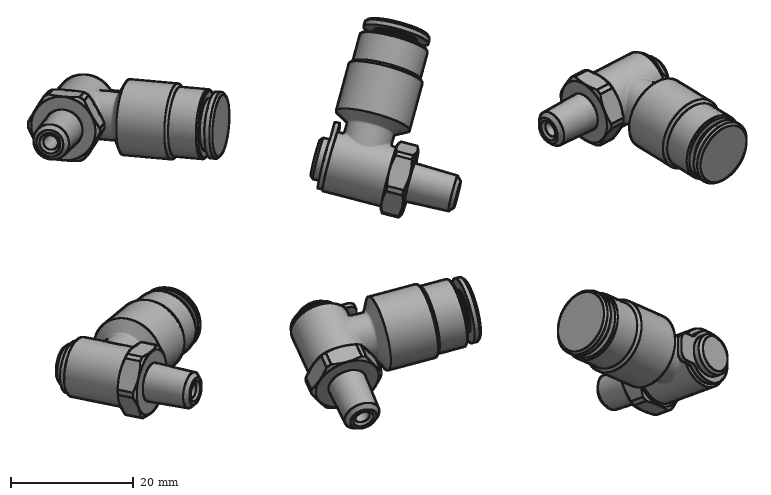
import cadquery as cq
import math


body_radius = 5.0
body_half_length = 5.0
neck_radius = 4.0
saddle_fillet = 0.4

hex_across_flats = 11.0
hex_corner_radius = 6.1
hex_face_radius = 5.45
hex_height = 3.5
hex_chamfer_angle = 30.0

thread_radius = 3.25
thread_length = 8.0
thread_taper = 1 / 16
thread_chamfer = 0.75

bore_radius = 1.25
bore_depth = 9.0
bore_chamfer = 0.5
inner_bore_radius = 1.0
inner_bore_depth = 14.0
drill_half_angle = 59.0

clip_thickness = 0.85
clip_radius = 4.4
clip_offset = -0.36
clip_tab_reach = 6.36
clip_tab_half_width = 2.4
clip_tab_corner_radius = 1.3
clip_tab_fillet = 1.17
groove_radius = 2.9
groove_clearance = 0.08
cap_radius = 3.5
cap_height = 2.5
cap_chamfer = 0.5

socket_radius = 6.25
socket_start = 8.35
socket_end = 17.0
shoulder_angle = 60.0
shoulder_fillet = 0.5
collar_radius = 5.75
collar_end = 22.0
collar_chamfer = 0.3

ring_neck_radius = 3.5
ring_neck_cone_radius = 4.35
ring_flare_radius = 3.6
ring_flare_length = 0.3
ring_radius = 5.5
ring_start = 23.1
ring_end = 24.34
ring_chamfer = 0.4

hex_front = -body_half_length - hex_height
stem_tip = hex_front - thread_length


def cone_run(rise, angle):
    """Axial length over which a cone of this half angle gains the given radius."""
    return rise / math.tan(math.radians(angle))


def revolve_about_y(points):
    """Solid of revolution about Y from (radius, y) points."""
    return cq.Workplane("XY").polyline(points).close().revolve(360, (0, 0, 0), (0, 1, 0))


def cylinder_along_y(radius, start, end):
    return revolve_about_y([(0, start), (radius, start), (radius, end), (0, end)])


def elbow_with_socket():
    """Elbow body with the turned socket and release ring, blended where the neck meets the body."""
    body = cylinder_along_y(body_radius, -body_half_length, body_half_length)

    shoulder_foot = socket_start - cone_run(socket_radius - neck_radius, shoulder_angle)
    turn = math.radians(shoulder_angle)
    arc_center_radius = neck_radius + shoulder_fillet
    arc_start = shoulder_foot - shoulder_fillet * math.tan(turn / 2)

    def on_shoulder_fillet(angle):
        x = arc_start + shoulder_fillet * math.sin(angle)
        return x, arc_center_radius - shoulder_fillet * math.cos(angle)

    socket_step = socket_radius - collar_radius
    ring_cone_run = cone_run(ring_neck_cone_radius - ring_neck_radius, shoulder_angle)
    socket = (
        cq.Workplane("XY")
        .moveTo(0, 0)
        .lineTo(0, neck_radius)
        .lineTo(arc_start, neck_radius)
        .threePointArc(on_shoulder_fillet(turn / 2), on_shoulder_fillet(turn))
        .lineTo(socket_start, socket_radius)
        .lineTo(socket_end - socket_step, socket_radius)
        .lineTo(socket_end, collar_radius)
        .lineTo(collar_end - collar_chamfer, collar_radius)
        .lineTo(collar_end, collar_radius - collar_chamfer)
        .lineTo(collar_end, ring_neck_cone_radius)
        .lineTo(collar_end + ring_cone_run, ring_neck_radius)
        .lineTo(ring_start - ring_flare_length, ring_neck_radius)
        .lineTo(ring_start, ring_flare_radius)
        .lineTo(ring_start, ring_radius)
        .lineTo(ring_end - ring_chamfer, ring_radius)
        .lineTo(ring_end, ring_radius - ring_chamfer)
        .lineTo(ring_end, 0)
        .close()
        .revolve(360, (0, 0, 0), (1, 0, 0))
    )
    saddle_zone = cq.selectors.BoxSelector(
        (0, -body_half_length, -body_radius),
        (body_radius + saddle_fillet, body_half_length, body_radius),
    )
    saddle_curves = body.union(socket).edges(saddle_zone).edges("not %CIRCLE").edges("not %LINE")
    return saddle_curves.fillet(saddle_fillet)


def hexagon():
    """Hexagon whose corners are turned round and chamfered at both ends."""
    flats = (
        cq.Workplane("XZ", origin=(0, -body_half_length, 0))
        .polygon(6, hex_across_flats / math.cos(math.pi / 6))
        .extrude(hex_height)
    )
    corner_drop = (hex_corner_radius - hex_face_radius) * math.tan(math.radians(hex_chamfer_angle))
    turned_blank = revolve_about_y([
        (0, hex_front),
        (hex_face_radius, hex_front),
        (hex_corner_radius, hex_front + corner_drop),
        (hex_corner_radius, -body_half_length - corner_drop),
        (hex_face_radius, -body_half_length),
        (0, -body_half_length),
    ])
    return flats.intersect(turned_blank)


def threaded_stem():
    tapered_length = thread_length - thread_chamfer
    end_radius = thread_radius - tapered_length * thread_taper / 2
    return revolve_about_y([
        (0, hex_front),
        (thread_radius, hex_front),
        (end_radius, hex_front - tapered_length),
        (end_radius - thread_chamfer, stem_tip),
        (0, stem_tip),
    ])


def stem_bore():
    """Stepped blind bore with a chamfered mouth and conical drill points."""
    step_run = cone_run(bore_radius - inner_bore_radius, drill_half_angle)
    point_run = cone_run(inner_bore_radius, drill_half_angle)
    return revolve_about_y([
        (0, stem_tip),
        (bore_radius + bore_chamfer, stem_tip),
        (bore_radius, stem_tip + bore_chamfer),
        (bore_radius, stem_tip + bore_depth),
        (inner_bore_radius, stem_tip + bore_depth + step_run),
        (inner_bore_radius, stem_tip + inner_bore_depth),
        (0, stem_tip + inner_bore_depth + point_run),
    ])


def retaining_clip():
    """Off-centre disc with a rounded tab reaching over the neck."""
    clip_plane = cq.Workplane("XZ", origin=(0, body_half_length + clip_thickness, 0))
    disc = clip_plane.center(clip_offset, 0).circle(clip_radius).extrude(clip_thickness)
    tab = (
        clip_plane.center(clip_tab_reach / 2, 0)
        .rect(clip_tab_reach, 2 * clip_tab_half_width)
        .extrude(clip_thickness)
        .edges("|Y and >X")
        .fillet(clip_tab_corner_radius)
    )
    clip = disc.union(tab)
    root_x = clip_offset + math.sqrt(clip_radius**2 - clip_tab_half_width**2)
    for side in (-1, 1):
        root = (root_x, body_half_length + clip_thickness / 2, side * clip_tab_half_width)
        clip = clip.edges(cq.selectors.NearestToPointSelector(root)).fillet(clip_tab_fillet)
    return clip


def end_cap():
    """Cap joined to the body by the grooved core that the clip sits around."""
    groove_end = body_half_length + clip_thickness + groove_clearance
    cap_end = body_half_length + cap_height
    groove_core = cylinder_along_y(groove_radius, body_half_length, groove_end)
    cap = cylinder_along_y(cap_radius, groove_end, cap_end).faces(">Y").chamfer(cap_chamfer)
    return groove_core.union(cap)


result = (
    elbow_with_socket()
    .union(hexagon())
    .union(threaded_stem())
    .union(retaining_clip())
    .union(end_cap())
    .cut(stem_bore())
)